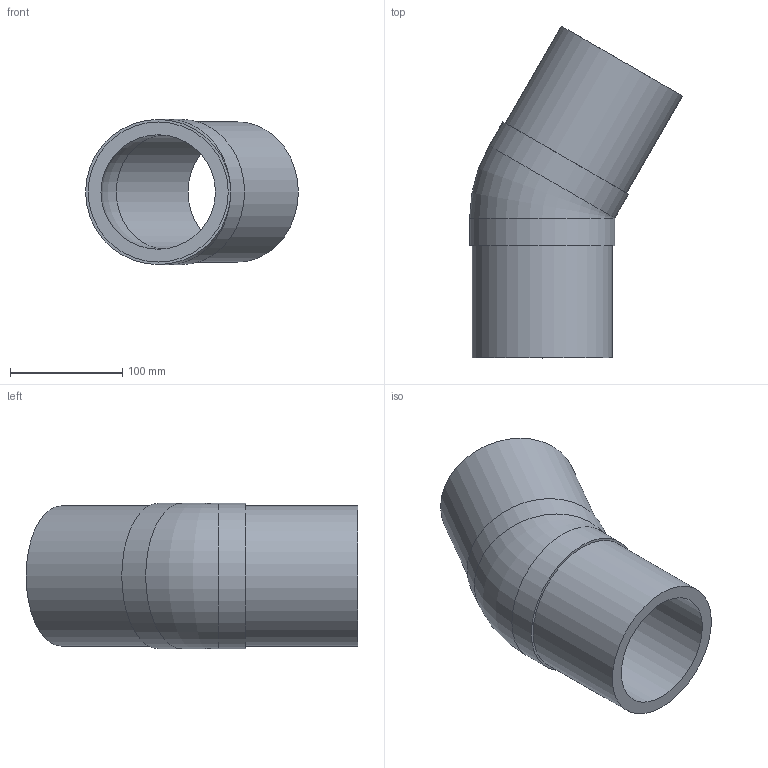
import cadquery as cq
import math

leg_to_corner = 142.0
bend_angle = 30.0

pipe_diameter = 125.0
pipe_length = 100.0
bore_diameter = 102.2

body_diameter = 129.56

inner_bend_radius = 0.1
body_bend_radius = body_diameter / 2 + inner_bend_radius
bore_bend_radius = bore_diameter / 2 + inner_bend_radius

angle = math.radians(bend_angle)
half_angle_tangent = math.tan(angle / 2)
body_leg = leg_to_corner - body_bend_radius * half_angle_tangent
bore_leg = leg_to_corner - bore_bend_radius * half_angle_tangent
collar_length = body_leg - pipe_length

inlet_direction = cq.Vector(0, 1, 0)
outlet_direction = cq.Vector(math.sin(angle), math.cos(angle), 0)
inlet_end = cq.Vector(0, 0, 0)
corner = inlet_end + inlet_direction * leg_to_corner
outlet_end = corner + outlet_direction * leg_to_corner


def rod(start, direction, diameter, length):
    """Solid cylinder from a start point along a direction."""
    plane = cq.Plane(origin=start, xDir=(0, 0, 1), normal=direction)
    return cq.Workplane(plane).circle(diameter / 2).extrude(length)


def bend(diameter, bend_radius, leg_length):
    """Solid circular bend that starts where the inlet leg of the given length stops."""
    bend_start = inlet_end + inlet_direction * leg_length
    plane = cq.Plane(origin=bend_start, xDir=(1, 0, 0), normal=inlet_direction)
    section = cq.Workplane(plane).circle(diameter / 2)
    return section.revolve(bend_angle, (bend_radius, 0), (bend_radius, 1))


def spigot(end, inward):
    """Solid pipe end."""
    return rod(end, inward, pipe_diameter, pipe_length)


def collar(end, inward):
    """Solid cylinder between a pipe spigot and the bend."""
    return rod(end + inward * pipe_length, inward, body_diameter, collar_length)


leg_ends = [(inlet_end, inlet_direction), (outlet_end, -outlet_direction)]

result = bend(body_diameter, body_bend_radius, body_leg)
for end, inward in leg_ends:
    result = result.union(spigot(end, inward))
    result = result.union(collar(end, inward))

result = result.cut(bend(bore_diameter, bore_bend_radius, bore_leg))
for end, inward in leg_ends:
    result = result.cut(rod(end, inward, bore_diameter, bore_leg))

result = result.solids()